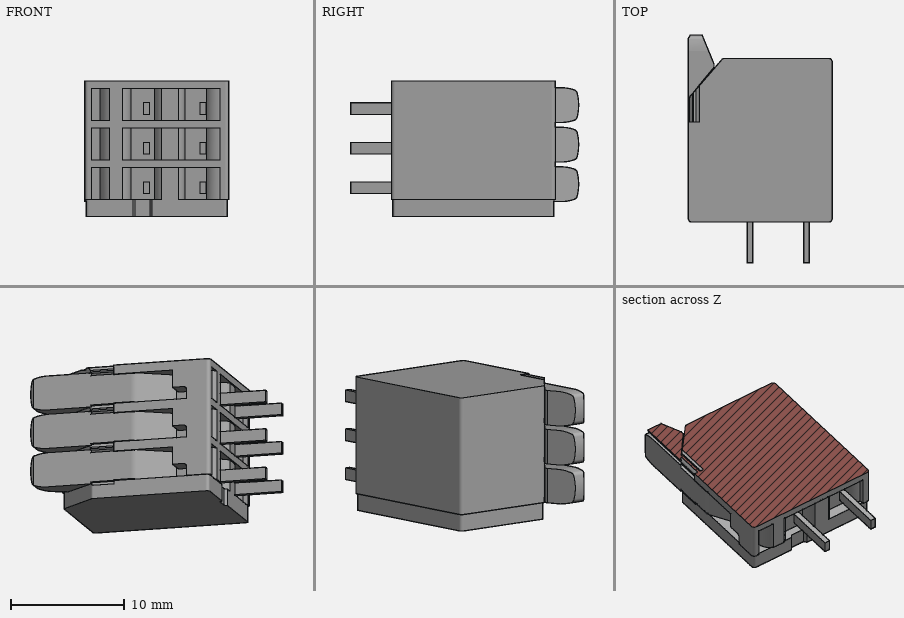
import cadquery as cq
import math


POLES = 3
PITCH = 3.5

WIDTH = 12.75
DEPTH = 14.5
HEIGHT = 12.0
BASE_HEIGHT = HEIGHT - POLES * PITCH
BASE_INSET = 0.12
BASE_CORNER_RADIUS = 0.28
CHAMFER_X = 3.07
CHAMFER_Y = 3.57
CORNER_RADIUS = 0.33
CHAMFER_START_Y = DEPTH - CHAMFER_Y

NOTCH_LEFT = 4.26
NOTCH_RIGHT = 5.96
NOTCH_SLOPE = 0.2
NOTCH_DEPTH = 0.25

CELL_HEIGHT = 2.83
CELL_DEPTH = 1.1
LEFT_CELL = (0.59, 2.18)
PIN_CELL = (3.33, 6.81)
END_CELL = (8.30, 11.98)
BAR_RECESS = BASE_INSET
LEFT_CELL_RUN = 0.81
PIN_CELL_LEFT_RUN = 0.76
PIN_CELL_RIGHT_RUN = 0.62
END_CELL_LEFT_RUN = 0.58
END_CELL_RIGHT_RUN = 1.02
WALL_BULGE = 0.12
END_LEDGE_WIDTH = 0.18
END_LEDGE_DEPTH = 0.43

PINS_PER_POLE = 2
PIN_WIDTH = 0.5
PIN_HEIGHT = 1.05
PIN_LENGTH = 3.6
PIN_FIRST_X = 5.22
PIN_SPACING = 5.0
PIN_RISE = 0.53

WINDOW_HEIGHT = 2.67
WINDOW_START_Y = 3.46
FLOOR_EDGE_Y = 3.65
RAMP_END_Y = 3.93
RAMP_START_Y = 7.0
RAMP_ANGLE = 30.0
RAMP_ROUND = 1.0
POCKET_DEPTH = 1.9
SLOT_START_Y = 2.16
SLOT_HEIGHT = 1.1
SLOT_RADIUS = 0.3

RELIEF_START_Y = 8.88
RELIEF_LENGTH = DEPTH - RELIEF_START_Y
RELIEF_WIDTH = 1.0
GROOVE_FLOOR = (0.70, 0.82)
GROOVE_DEPTH = 0.10
GROOVE_END_BOW = 0.02
NOSE_CREST = (0.37, 0.49)
NOSE_SHOULDER_X = 0.17
NOSE_SHOULDER_DROP = 0.20
NOSE_X = 0.1
NOSE_TOP_DROP = 0.33
NOSE_BOTTOM_DROP = 0.46
NOSE_CHIN_X = 0.15
NOSE_CHIN_DROP = 0.59
THROAT_X = 0.35

LEVER_HEIGHT = 3.1
LEVER_DROP = 0.18
LEVER_TIP_Y = 16.58
LEVER_WIDTH = 2.29
LEVER_TIP_WIDTH = 1.23
LEVER_SHOULDER_Y = 14.01
LEVER_HEEL_Y = 13.70
TIP_CHAMFER_X = 0.2
TIP_CHAMFER_Y = 0.32
TIP_TAPER_Y = 15.14
TIP_EDGE_Y = 16.18
TIP_EDGE_DROP = 0.20
TIP_ROUND_MIDDLE = (16.36, 0.33)
TIP_ROUND_END = (16.45, 0.52)
TIP_TAPER_BOW = 0.06
STEM_WIDTH = 1.0
STEM_GAP = 0.05
STEM_END_Y = CHAMFER_START_Y + STEM_WIDTH * CHAMFER_Y / CHAMFER_X


def pole_base(index):
    """Height of the floor of a pole."""
    return BASE_HEIGHT + index * PITCH


def footprint():
    """Outline of the housing in XY, with one corner cut off at the lever end."""
    return (
        cq.Workplane("XY")
        .moveTo(0, 0)
        .lineTo(WIDTH, 0)
        .lineTo(WIDTH, DEPTH)
        .lineTo(CHAMFER_X, DEPTH)
        .lineTo(0, CHAMFER_START_Y)
        .close()
    )


def make_housing():
    """Main block standing on the base plate."""
    block = footprint().extrude(HEIGHT - BASE_HEIGHT)
    block = block.edges("|Z and (<Y or >Y)").fillet(CORNER_RADIUS)
    return block.translate((0, 0, BASE_HEIGHT))


def make_base():
    """Base plate, set in all round, with a notch in its front."""
    plate = footprint().offset2D(-BASE_INSET, "intersection").extrude(BASE_HEIGHT)
    plate = plate.edges("|Z").fillet(BASE_CORNER_RADIUS)
    notch_back = BASE_INSET + NOTCH_DEPTH
    notch = (
        cq.Workplane("XY")
        .moveTo(NOTCH_LEFT, 0)
        .lineTo(NOTCH_LEFT, BASE_INSET)
        .lineTo(NOTCH_LEFT + NOTCH_SLOPE, notch_back)
        .lineTo(NOTCH_RIGHT - NOTCH_SLOPE, notch_back)
        .lineTo(NOTCH_RIGHT, BASE_INSET)
        .lineTo(NOTCH_RIGHT, 0)
        .close()
        .extrude(BASE_HEIGHT)
    )
    return plate.cut(notch)


def bulging_wall(outline, start, end):
    """Follow a wall that bulges into the opening, with the opening on the right."""
    run = end[0] - start[0]
    rise = end[1] - start[1]
    middle_x = (start[0] + end[0]) / 2 + WALL_BULGE * rise
    middle_y = (start[1] + end[1]) / 2 - WALL_BULGE * run
    return outline.threePointArc((middle_x, middle_y), end)


def cut_cells(index):
    """The three openings of one pole in the pin face."""
    plane = cq.Workplane("XY", origin=(0, 0, pole_base(index)))

    left, right = LEFT_CELL
    back_right = (right - LEFT_CELL_RUN, CELL_DEPTH)
    left_cell = plane.moveTo(left, 0).lineTo(left, CELL_DEPTH).lineTo(*back_right)
    left_cell = bulging_wall(left_cell, back_right, (right, 0))
    cells = left_cell.close().extrude(CELL_HEIGHT)

    left, right = PIN_CELL
    back_left = (left + PIN_CELL_LEFT_RUN, CELL_DEPTH)
    back_right = (right - PIN_CELL_RIGHT_RUN, CELL_DEPTH)
    pin_cell = bulging_wall(plane.moveTo(left, 0), (left, 0), back_left)
    pin_cell = bulging_wall(pin_cell.lineTo(*back_right), back_right, (right, BAR_RECESS))
    cells = cells.union(pin_cell.lineTo(right, 0).close().extrude(CELL_HEIGHT))

    left, right = END_CELL
    ledge_x = right - END_LEDGE_WIDTH
    back_left = (left + END_CELL_LEFT_RUN, CELL_DEPTH)
    back_right = (ledge_x - END_CELL_RIGHT_RUN, CELL_DEPTH)
    end_cell = plane.moveTo(left, 0).lineTo(left, BAR_RECESS)
    end_cell = bulging_wall(end_cell, (left, BAR_RECESS), back_left)
    end_cell = bulging_wall(end_cell.lineTo(*back_right), back_right, (ledge_x, END_LEDGE_DEPTH))
    end_cell = end_cell.lineTo(right, END_LEDGE_DEPTH).lineTo(right, 0)
    cells = cells.union(end_cell.close().extrude(CELL_HEIGHT))

    bar_gap = cq.Workplane("XY").box(
        END_CELL[0] - PIN_CELL[1], BAR_RECESS, CELL_HEIGHT, centered=False
    )
    return cells.union(bar_gap.translate((PIN_CELL[1], 0, pole_base(index))))


def make_pins(index):
    """The two solder pins of one pole."""
    pins = []
    for place in range(PINS_PER_POLE):
        pin = cq.Workplane("XY").box(PIN_WIDTH, PIN_LENGTH + CELL_DEPTH, PIN_HEIGHT, centered=False)
        pin_x = PIN_FIRST_X + place * PIN_SPACING
        pins.append(pin.translate((pin_x, -PIN_LENGTH, pole_base(index) + PIN_RISE)))
    return pins


def cut_window(index):
    """Side pocket in front of a lever: a ramp, a flat floor and a low slot."""
    plane = cq.Workplane("XY", origin=(0, 0, pole_base(index)))
    ramp_depth = (RAMP_START_Y - RAMP_END_Y) * math.tan(math.radians(RAMP_ANGLE))
    tangent = RAMP_ROUND * math.tan(math.radians(RAMP_ANGLE / 2))
    bend = math.radians(RAMP_ANGLE)
    half_bend = bend / 2
    arc_start_y = RAMP_START_Y + tangent
    arc_middle = (RAMP_ROUND * (1 - math.cos(half_bend)), arc_start_y - RAMP_ROUND * math.sin(half_bend))
    arc_end = (RAMP_ROUND * (1 - math.cos(bend)), arc_start_y - RAMP_ROUND * math.sin(bend))
    pocket = (
        plane.moveTo(0, WINDOW_START_Y)
        .lineTo(0, arc_start_y)
        .threePointArc(arc_middle, arc_end)
        .lineTo(ramp_depth, RAMP_END_Y)
        .lineTo(POCKET_DEPTH, FLOOR_EDGE_Y)
        .lineTo(POCKET_DEPTH, WINDOW_START_Y)
        .close()
        .extrude(WINDOW_HEIGHT)
    )
    slot = cq.Workplane("XY").box(
        POCKET_DEPTH, WINDOW_START_Y - SLOT_START_Y, SLOT_HEIGHT, centered=False
    )
    slot = slot.edges("|X and <Y and >Z").fillet(SLOT_RADIUS)
    return pocket.union(slot.translate((0, SLOT_START_Y, pole_base(index))))


def relief_outline():
    """Start a relief outline in XZ at the cut corner end of the housing."""
    return cq.Workplane("XZ", origin=(0, DEPTH, 0))


def cut_groove(top):
    """Shallow groove behind the crest of the nose of a wall."""
    floor_left, floor_right = GROOVE_FLOOR
    floor = top - GROOVE_DEPTH
    bow_x = (floor_right + RELIEF_WIDTH) / 2
    bow_z = (floor + top) / 2 - GROOVE_END_BOW
    return (
        relief_outline()
        .moveTo(NOSE_CREST[1], top)
        .lineTo(floor_left, floor)
        .lineTo(floor_right, floor)
        .threePointArc((bow_x, bow_z), (RELIEF_WIDTH, top))
        .close()
        .extrude(RELIEF_LENGTH)
    )


def cut_nose_top(top):
    """Space over the sloping upper side of the nose of a wall."""
    return (
        relief_outline()
        .moveTo(NOSE_CREST[0], top)
        .lineTo(NOSE_SHOULDER_X, top - NOSE_SHOULDER_DROP)
        .lineTo(NOSE_X, top - NOSE_TOP_DROP)
        .lineTo(0, top - NOSE_TOP_DROP)
        .lineTo(0, top)
        .close()
        .extrude(RELIEF_LENGTH)
    )


def cut_nose_bottom(top):
    """Space around the underside of the nose, down to the lever below it."""
    throat = top - PITCH + WINDOW_HEIGHT
    return (
        relief_outline()
        .moveTo(0, top - NOSE_TOP_DROP)
        .lineTo(NOSE_X, top - NOSE_TOP_DROP)
        .lineTo(NOSE_X, top - NOSE_BOTTOM_DROP)
        .lineTo(NOSE_CHIN_X, top - NOSE_CHIN_DROP)
        .lineTo(THROAT_X, throat)
        .lineTo(0, throat)
        .close()
        .extrude(RELIEF_LENGTH)
    )


def cut_stem_gaps(index):
    """Thin slits between a lever stem and the walls over and under it."""
    slit = cq.Workplane("XY").box(
        STEM_WIDTH, RELIEF_START_Y - RAMP_START_Y, STEM_GAP, centered=False
    )
    lower = slit.translate((0, RAMP_START_Y, pole_base(index)))
    return lower.union(lower.translate((0, 0, WINDOW_HEIGHT - STEM_GAP)))


def make_lever(index):
    """Lever behind the cut corner, with a bowed tip, on a stem in the window."""
    bottom = pole_base(index) - LEVER_DROP
    top = bottom + LEVER_HEIGHT
    middle = (bottom + top) / 2
    taper_y = (TIP_TAPER_Y + TIP_EDGE_Y) / 2
    round_y, round_drop = TIP_ROUND_MIDDLE
    end_y, end_drop = TIP_ROUND_END

    plan = (
        cq.Workplane("XY", origin=(0, 0, bottom))
        .moveTo(0, CHAMFER_START_Y)
        .lineTo(0, LEVER_TIP_Y - TIP_CHAMFER_Y)
        .lineTo(TIP_CHAMFER_X, LEVER_TIP_Y)
        .lineTo(LEVER_TIP_WIDTH, LEVER_TIP_Y)
        .lineTo(LEVER_WIDTH, LEVER_SHOULDER_Y)
        .lineTo(LEVER_WIDTH, LEVER_HEEL_Y)
        .close()
        .extrude(LEVER_HEIGHT)
    )
    side = (
        cq.Workplane("YZ")
        .moveTo(CHAMFER_START_Y, bottom)
        .lineTo(TIP_TAPER_Y, bottom)
        .threePointArc((taper_y, bottom + TIP_TAPER_BOW), (TIP_EDGE_Y, bottom + TIP_EDGE_DROP))
        .threePointArc((round_y, bottom + round_drop), (end_y, bottom + end_drop))
        .threePointArc((LEVER_TIP_Y, middle), (end_y, top - end_drop))
        .threePointArc((round_y, top - round_drop), (TIP_EDGE_Y, top - TIP_EDGE_DROP))
        .threePointArc((taper_y, top - TIP_TAPER_BOW), (TIP_TAPER_Y, top))
        .lineTo(CHAMFER_START_Y, top)
        .close()
        .extrude(LEVER_WIDTH)
    )
    stem = cq.Workplane("XY").box(
        STEM_WIDTH, STEM_END_Y - RELIEF_START_Y, WINDOW_HEIGHT, centered=False
    )
    return plan.intersect(side).union(stem.translate((0, RELIEF_START_Y, pole_base(index))))


result = make_housing().union(make_base()).cut(cut_nose_top(BASE_HEIGHT))
for pole in range(POLES):
    wall_top = pole_base(pole + 1)
    result = result.cut(cut_cells(pole)).cut(cut_window(pole)).cut(cut_stem_gaps(pole))
    result = result.cut(cut_groove(wall_top)).cut(cut_nose_top(wall_top)).cut(cut_nose_bottom(wall_top))
for pole in range(POLES):
    result = result.union(make_lever(pole))
    for pin in make_pins(pole):
        result = result.union(pin)